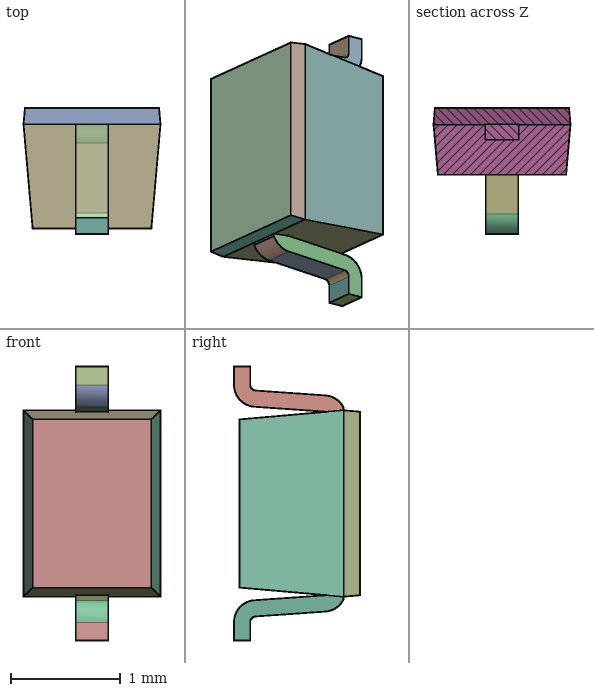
import cadquery as cq
import math


case_width = 1.25
case_length = 1.70
parting_y = 1.00
standoff = 0.05
cap_height = 0.15
draft_angle = 5.0

overall_length = 2.50
lead_width = 0.30
lead_thickness = 0.15
inner_radius = 0.05
outer_radius = inner_radius + lead_thickness
foot_length = 0.17
shank_angle = math.radians(4.0)
shoulder_y = 0.82
tail_depth = 0.20


def offset(centre, distance, angle):
    """Point (Y, Z) at a distance from a bend centre; the angle turns from +Z towards +Y."""
    return (centre[0] + distance * math.sin(angle), centre[1] + distance * math.cos(angle))


def lead():
    """Lead at the +Z end: tail, shoulder bend, sloping shank, foot bend and foot."""
    tip_z = overall_length / 2
    tail_z = case_length / 2 - tail_depth
    foot_centre = (outer_radius, tip_z - foot_length)

    shank_run = shoulder_y - foot_centre[0]
    bend_spacing = inner_radius + outer_radius
    shoulder_z = (
        foot_centre[1] - bend_spacing / math.cos(shank_angle) - shank_run * math.tan(shank_angle)
    )
    shoulder_centre = (shoulder_y, shoulder_z)

    flush_angle = math.asin((parting_y - shoulder_y) / outer_radius)
    shoulder_middle = (flush_angle + shank_angle) / 2
    under_middle = (math.pi / 2 + shank_angle) / 2

    foot_start = math.pi + shank_angle
    foot_end = 1.5 * math.pi
    foot_middle = (foot_start + foot_end) / 2

    return (
        cq.Workplane("YZ")
        .moveTo(parting_y, tail_z)
        .lineTo(*offset(shoulder_centre, outer_radius, flush_angle))
        .threePointArc(
            offset(shoulder_centre, outer_radius, shoulder_middle),
            offset(shoulder_centre, outer_radius, shank_angle),
        )
        .lineTo(*offset(foot_centre, inner_radius, foot_start))
        .threePointArc(
            offset(foot_centre, inner_radius, foot_middle),
            offset(foot_centre, inner_radius, foot_end),
        )
        .lineTo(lead_thickness, tip_z)
        .lineTo(0, tip_z)
        .lineTo(*offset(foot_centre, outer_radius, foot_end))
        .threePointArc(
            offset(foot_centre, outer_radius, foot_middle),
            offset(foot_centre, outer_radius, foot_start),
        )
        .lineTo(*offset(shoulder_centre, inner_radius, shank_angle))
        .threePointArc(
            offset(shoulder_centre, inner_radius, under_middle),
            offset(shoulder_centre, inner_radius, math.pi / 2),
        )
        .lineTo(shoulder_y + inner_radius, tail_z)
        .close()
        .extrude(lead_width / 2, both=True)
    )


def case_base(leads):
    """Deep half of the case, with a slot for the tail of each lead."""
    base = (
        cq.Workplane("XZ", origin=(0, parting_y, 0))
        .rect(case_width, case_length)
        .extrude(parting_y - standoff, taper=draft_angle)
    )
    for part in leads:
        base = base.cut(part)
    return base


def case_cap():
    """Shallow half of the case, closing the lead slots."""
    return (
        cq.Workplane("ZX", origin=(0, parting_y, 0))
        .rect(case_length, case_width)
        .extrude(cap_height, taper=draft_angle)
    )


upper_lead = lead()
leads = [upper_lead, upper_lead.mirror("XY")]
base = case_base(leads)
cap = case_cap()

result = cq.Compound.makeCompound([base.val(), cap.val(), *[part.val() for part in leads]])